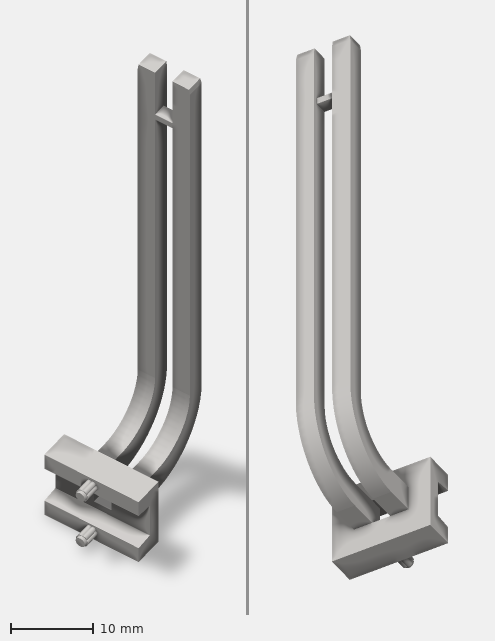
import cadquery as cq
import math

total_height = 67.9
total_depth = 20.25

base_width = 14.0
base_height = 10.5
base_depth = 4.2
web_thickness = 1.8
lip_tip_height = 2.45
lip_root_height = 2.65

arm_width = 2.6
arm_gap = 2.6
arm_thickness = 2.5
foot_height = 3.45
foot_bottom = 3.7
bend_inner_radius = 7.1
tip_taper_height = 0.8
tip_taper_inset = 0.15

bridge_drop = 7.35
bridge_height = 0.9
bridge_depth = 1.8

pin_length = 2.4
pin_tip_length = 0.4
pin_core_radius = 0.75
pin_tip_radius = 0.7
rib_count = 6
rib_radius = 0.4
rib_reach = 0.92
pin_edge_distance = 1.3

base_front = pin_length
base_back = base_front + base_depth
web_front = base_back - web_thickness
arm_back = total_depth
arm_front = arm_back - arm_thickness
foot_top = foot_bottom + foot_height
bend_center_y = arm_front - bend_inner_radius
bend_center_z = foot_top + bend_inner_radius
bend_outer_width = bend_inner_radius + arm_thickness
bend_outer_height = bend_inner_radius + foot_height


def make_base():
    """Channel with slightly drafted lips and a window between the arm feet."""
    profile = [
        (base_back, 0),
        (base_front, 0),
        (base_front, lip_tip_height),
        (web_front, lip_root_height),
        (web_front, base_height - lip_root_height),
        (base_front, base_height - lip_tip_height),
        (base_front, base_height),
        (base_back, base_height),
    ]
    channel = cq.Workplane("YZ").polyline(profile).close().extrude(base_width / 2, both=True)
    window = cq.Workplane("XY").box(arm_gap, base_depth, foot_height, centered=(True, False, False))
    return channel.cut(window.translate((0, web_front - web_thickness / 2, foot_bottom)))


def make_arm():
    """Right-hand arm: a foot, a bend that thins toward the upright, and a tip tapered at back and outside."""
    shoulder = total_height - tip_taper_height
    inner_x = arm_gap / 2
    diagonal = math.sqrt(0.5)
    inner_mid = (
        bend_center_y + bend_inner_radius * diagonal,
        bend_center_z - bend_inner_radius * diagonal,
    )
    arm = (
        cq.Workplane("YZ", origin=(inner_x, 0, 0))
        .moveTo(base_back, foot_bottom)
        .lineTo(bend_center_y, foot_bottom)
        .ellipseArc(bend_outer_width, bend_outer_height, 270, 360, startAtCurrent=True)
        .lineTo(arm_back, shoulder)
        .lineTo(arm_back - tip_taper_inset, total_height)
        .lineTo(arm_front, total_height)
        .lineTo(arm_front, bend_center_z)
        .threePointArc(inner_mid, (bend_center_y, foot_top))
        .lineTo(base_back, foot_top)
        .close()
        .extrude(arm_width)
    )
    outer_x = inner_x + arm_width
    outer_taper = (
        cq.Workplane("XZ")
        .polyline([
            (outer_x, shoulder),
            (outer_x, total_height),
            (outer_x - tip_taper_inset, total_height),
        ])
        .close()
        .extrude(-total_depth)
    )
    return arm.cut(outer_taper)


def make_bridge():
    """Cross bar flush with the front faces of the arms."""
    bridge = cq.Workplane("XY").box(arm_gap, bridge_depth, bridge_height, centered=(True, False, False))
    return bridge.translate((0, arm_front, total_height - bridge_drop - bridge_height))


def make_pin(center_z):
    """Round pin with ribs along its body and a conical tip."""
    body_length = pin_length - pin_tip_length
    face = cq.Workplane("XZ", origin=(0, base_front, center_z))
    pin = face.circle(pin_core_radius).extrude(body_length)
    ribs = face.polarArray(rib_reach - rib_radius, 0, 360, rib_count).circle(rib_radius).extrude(body_length)
    tip = (
        cq.Workplane("XZ", origin=(0, pin_tip_length, center_z))
        .circle(pin_core_radius)
        .workplane(offset=pin_tip_length)
        .circle(pin_tip_radius)
        .loft()
    )
    return pin.union(ribs).union(tip)


right_arm = make_arm()
result = make_base().union(right_arm).union(right_arm.mirror("YZ")).union(make_bridge())
for pin_z in (pin_edge_distance, base_height - pin_edge_distance):
    result = result.union(make_pin(pin_z))